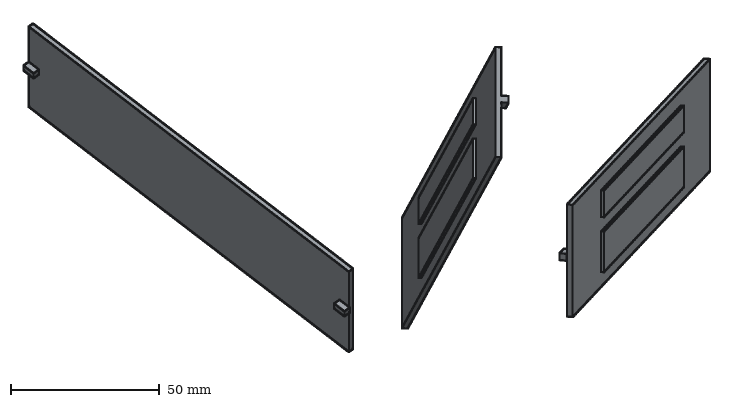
import cadquery as cq

overall_length = 155.5
plate_height = 40.0
plate_thickness = 2.0

tab_length = 5.0
tab_height = 2.5
tab_depth = 2.5
tab_overhang = 0.5

band_length = 90.2
band_thickness = 1.0
upper_band_height = 9.5
upper_band_drop = 5.6
lower_band_height = 14.5
lower_band_drop = 20.2

plate_length = overall_length - tab_overhang
plate_middle = plate_height / 2


def block(x, y, z, length, depth, height):
    """Box with its lowest corner at (x, y, z)."""
    return cq.Workplane("XY").box(length, depth, height, centered=False).translate((x, y, z))


result = block(0, 0, 0, plate_length, plate_thickness, plate_height)

for tab_start in (0, overall_length - tab_length):
    tab = block(tab_start, -tab_depth, plate_middle, tab_length, tab_depth, tab_height)
    result = result.union(tab)

band_start = (overall_length - band_length) / 2
for drop, height in (
    (upper_band_drop, upper_band_height),
    (lower_band_drop, lower_band_height),
):
    band_bottom = plate_height - drop - height
    band = block(band_start, plate_thickness, band_bottom, band_length, band_thickness, height)
    result = result.union(band)